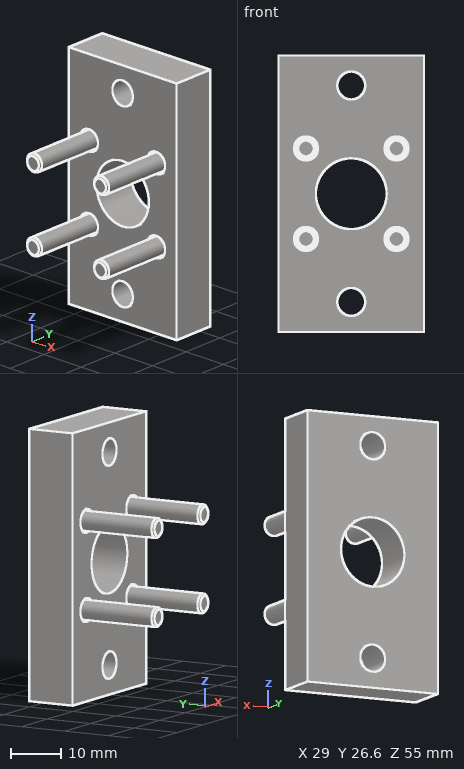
import cadquery as cq

plate_width = 29.0
plate_height = 55.0
total_depth = 26.6
pin_projection = 16.6
plate_thickness = total_depth - pin_projection

bore_diameter = 14.0
mounting_hole_diameter = 5.5
mounting_hole_spacing = 43.0

pin_diameter = 4.0
pin_length = 22.0
pin_tip_chamfer = 0.45
pin_spacing = 18.0

pin_hole_diameter = 4.8
pin_hole_depth = pin_length - pin_projection

half_spacing = pin_spacing / 2
pin_positions = [(x, z) for x in (-half_spacing, half_spacing) for z in (-half_spacing, half_spacing)]


def cylinder_along_y(diameter, y_start, y_end, x=0.0, z=0.0):
    """Cylinder parallel to Y, running from y_start toward a larger y_end."""
    return (
        cq.Workplane("XZ", origin=(x, y_start, z))
        .circle(diameter / 2)
        .extrude(y_start - y_end)
    )


def make_plate():
    """Rectangular plate with a bore, two mounting holes and four blind pin holes."""
    plate = cq.Workplane("XY").box(
        plate_width, plate_thickness, plate_height, centered=(True, False, True)
    )
    plate = plate.cut(cylinder_along_y(bore_diameter, 0.0, plate_thickness))
    for side in (-1, 1):
        z = side * mounting_hole_spacing / 2
        plate = plate.cut(cylinder_along_y(mounting_hole_diameter, 0.0, plate_thickness, z=z))
    for x, z in pin_positions:
        plate = plate.cut(cylinder_along_y(pin_hole_diameter, 0.0, pin_hole_depth, x, z))
    return plate


def make_pin(x, z):
    """Straight pin with a chamfered free end."""
    pin = cylinder_along_y(pin_diameter, -pin_projection, pin_hole_depth, x, z)
    return pin.faces("<Y").chamfer(pin_tip_chamfer)


plate = make_plate()
pins = [make_pin(x, z) for x, z in pin_positions]

result = cq.Compound.makeCompound([plate.val(), *[pin.val() for pin in pins]])